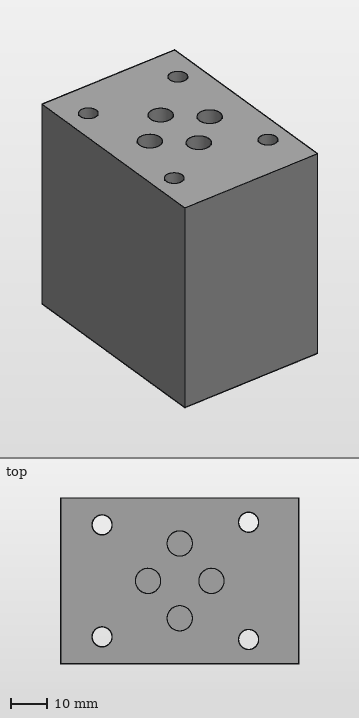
import cadquery as cq

length = 66
width = 46.0
height = 66

mount_diameter = 5.5
left_mount_x = -21.5
left_mount_y = 15.5
right_mount_x = 19.1
right_mount_y = 16.25

port_diameter = 7.0
port_depth = height / 2
port_offset_x = 8.8
port_offset_y = 10.35


def drill_from_top(centres, diameter, depth):
    """Return the cylinders that cut holes of one size down from the top face."""
    return (
        cq.Workplane("XY")
        .workplane(offset=height)
        .pushPoints(centres)
        .circle(diameter / 2)
        .extrude(-depth)
    )


mount_centres = []
for side in (-1, 1):
    mount_centres.append((left_mount_x, side * left_mount_y))
    mount_centres.append((right_mount_x, side * right_mount_y))

port_centres = []
for side in (-1, 1):
    port_centres.append((side * port_offset_x, 0))
    port_centres.append((0, side * port_offset_y))

block = cq.Workplane("XY").box(length, width, height, centered=(True, True, False))
mount_holes = drill_from_top(mount_centres, mount_diameter, height)
ports = drill_from_top(port_centres, port_diameter, port_depth)

result = block.cut(mount_holes).cut(ports)